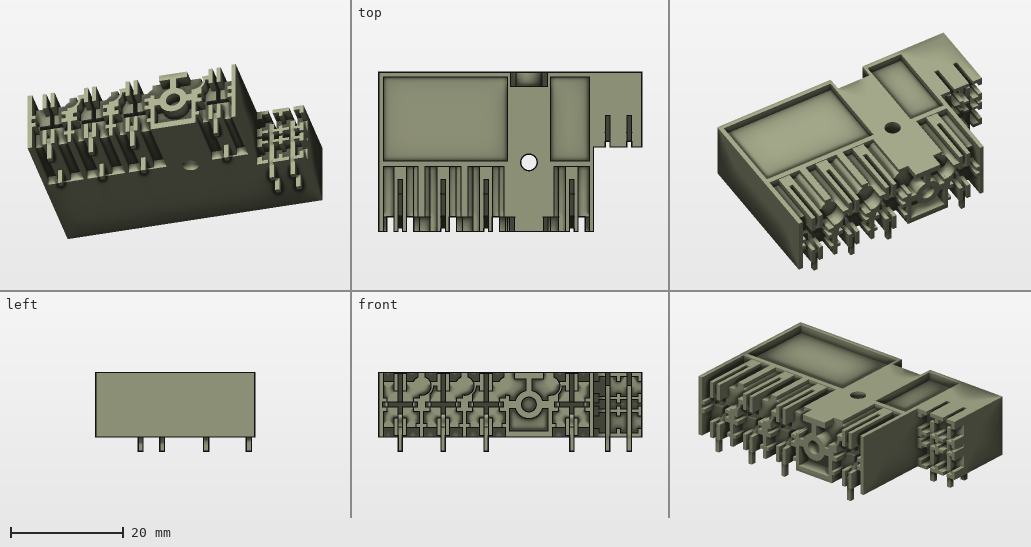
import cadquery as cq
length = 46.7
depth = 28.3
top_z = 14
pin_length = 2.5
base_z = pin_length
main_length = 38.15
wall = 0.85
right_wall = 0.75
front_depth = 2.6

pitch = 7.6
first_cell_x = 3.85
cell_centres = [first_cell_x + i * pitch for i in (0, 1, 2, 4)]
hub_x = first_cell_x + 3 * pitch
partition_centres = [first_cell_x + (i + 0.5) * pitch for i in range(4)]
channel_back_y = 11.6
top_floor_z = 12.4
bottom_ceiling_z = 4.25
partition_top_width = 1.25
web_width = 0.7
nib_reach = 1.0
nib_top_z = 4.95
ledge_reach = 1.45
ledge_bottom_z = 7.05
ledge_top_z = 9.45

bore_radius = 1.7
bore_z = 11.63
rib_radius = 2.1
rib_shelf_z = 11.6

holder_width = 2.25
holder_height = 3.15
top_holder_z = 10.7
bottom_holder_z = 2.8
slot_width = 0.8
slot_depth = 9.2
cross_slot_bottom_z = 7.9
cross_slot_top_z = 8.75
cross_slot_width = 6.2
inner_slot_width = 4.4

blade_front_y = 0.6
blade_slope_end_y = 2.8
blade_step_y = 6.7
blade_nose_z = 4.35
blade_ridge_z = 6.65
leg_width = 1.0
rear_leg_y = 8.15
inner_slot_depth = blade_step_y

hub_z = 8.3
hub_radius = 2.5
hub_hole_radius = 1.3
shoulder_z = 9.9
hub_pocket_width = 6.8
hub_pocket_bottom_z = 3.65
arm_height = 1.4
stem_width = 1.1
cap_width = 5.1
cap_bottom_z = 12.85
screw_hole_radius = 1.45
screw_hole_y = 12.3
notch_width = 6.55
notch_depth = 2.55
notch_floor_z = 9.3

tray_front_y = 12.5
left_tray_end_x = 22.9
right_tray_start_x = 30.5

signal_front_y = 15.0
signal_recess_depth = 2.6
signal_pin_xs = (40.6, 44.45)
signal_slot_width = 0.85
signal_slot_back_y = 20.65
signal_blade_front_y = 16.0
signal_blade_top_z = 11.7
signal_leg_width = 0.9
signal_rear_leg_y = 19.85
signal_shelves = ((base_z, 3.2), (6.9, 7.45), (9.15, 9.7), (13.25, top_z))
signal_teeth = ((base_z, 4.05), (6.3, 8.05), (8.6, 10.25), (top_floor_z, top_z))
tooth_spans = ((main_length, 39.1), (42.15, 42.85), (46.0, length))


def box(x0, x1, y0, y1, z0, z1):
    """Axis-aligned block between two opposite corners."""
    return cq.Workplane("XY").box(x1 - x0, y1 - y0, z1 - z0, centered=False).translate((x0, y0, z0))


def centred_box(x, width, y0, y1, z0, z1):
    """Block of the given width, centred on x."""
    return box(x - width / 2, x + width / 2, y0, y1, z0, z1)


def rod(x, z, radius, y0, y1):
    """Cylinder parallel to Y."""
    return cq.Workplane("XZ", origin=(x, y0, z)).circle(radius).extrude(y0 - y1)


def channel(x, partition_width, z0, z1):
    """Open channel of one cell, kept inside the outer side walls."""
    half = (pitch - partition_width) / 2
    left = max(wall, x - half)
    right = min(main_length - right_wall, x + half)
    return box(left, right, 0, channel_back_y, z0, z1)


def shell():
    """Main housing behind the front recess, with the outer side walls and channels."""
    body = box(0, main_length, front_depth, depth, base_z, top_z)
    for x in cell_centres:
        body = body.cut(channel(x, partition_top_width, top_floor_z, top_z))
        body = body.cut(channel(x, web_width, base_z, bottom_ceiling_z))
    for x in partition_centres:
        body = body.union(rod(x, bore_z, bore_radius, front_depth, channel_back_y))
    body = body.union(box(0, wall, 0, depth, base_z, top_z))
    return body.union(box(main_length - right_wall, main_length, 0, depth, base_z, top_z))


def partition_left(x):
    """Left flank of a front partition: web and nib."""
    flank = box(x - web_width / 2, x, 0, front_depth, base_z, bore_z)
    return flank.union(box(x - nib_reach, x, 0, front_depth, bottom_ceiling_z, nib_top_z))


def partition_right(x):
    """Right flank: web, nib and the curved rib that carries the bore."""
    flank = box(x, x + web_width / 2, 0, front_depth, base_z, ledge_top_z)
    flank = flank.union(box(x, x + nib_reach, 0, front_depth, bottom_ceiling_z, nib_top_z))
    rib = box(x, x + ledge_reach, 0, front_depth, ledge_bottom_z, bore_z)
    lower_right = box(x, x + rib_radius, 0, front_depth, ledge_top_z, bore_z)
    rib = rib.union(rod(x, bore_z, rib_radius, 0, front_depth).intersect(lower_right))
    holder_left_x = x + (pitch - holder_width) / 2
    return flank.union(rib).union(box(x, holder_left_x, 0, front_depth, rib_shelf_z, top_floor_z))


def front_partitions():
    """Front partitions with their bores; the hub separates the last two."""
    flanks = partition_left(partition_centres[0])
    for x in partition_centres[1:-1]:
        flanks = flanks.union(partition_left(x))
    for x in partition_centres[:2] + partition_centres[-1:]:
        flanks = flanks.union(partition_right(x))
    for x in partition_centres:
        flanks = flanks.cut(rod(x, bore_z, bore_radius, 0, front_depth))
    return flanks


def hub():
    """Central boss on arms, with a pocket below and a T-shaped cap above."""
    arm_bottom_z = hub_z - arm_height / 2
    arm_top_z = hub_z + arm_height / 2
    block = centred_box(hub_x, pitch, 0, front_depth, base_z, shoulder_z)
    block = block.cut(rod(partition_centres[-1], bore_z, bore_radius, 0, front_depth))
    block = block.cut(centred_box(hub_x, hub_pocket_width, 0, front_depth, hub_pocket_bottom_z, top_z))
    block = block.union(centred_box(hub_x, hub_pocket_width, 0, front_depth, arm_bottom_z, arm_top_z))
    block = block.union(centred_box(hub_x, stem_width, 0, front_depth, hub_z, top_z))
    block = block.union(centred_box(hub_x, cap_width, 0, front_depth, cap_bottom_z, top_z))
    return block.union(rod(hub_x, hub_z, hub_radius, 0, front_depth))


def holders(x):
    """Upper and lower blocks that guide the contact, with ledges at the cell sides."""
    blocks = centred_box(x, holder_width, 0, channel_back_y, top_holder_z, top_holder_z + holder_height)
    blocks = blocks.union(
        centred_box(x, holder_width, 0, channel_back_y, bottom_holder_z, bottom_holder_z + holder_height)
    )
    ledge_offset = (pitch - ledge_reach) / 2
    for ledge_x in (x - ledge_offset, x + ledge_offset):
        blocks = blocks.union(
            centred_box(ledge_x, ledge_reach, 0, front_depth, ledge_bottom_z, ledge_top_z)
        )
    return blocks


def contact_slots(x):
    """Cross-shaped slot: vertical for the blade, horizontal through the ledges."""
    z0, z1 = cross_slot_bottom_z, cross_slot_top_z
    slots = centred_box(x, slot_width, 0, slot_depth, base_z, top_z)
    slots = slots.union(centred_box(x, cross_slot_width, 0, front_depth, z0, z1))
    return slots.union(centred_box(x, inner_slot_width, 0, inner_slot_depth, z0, z1))


def main_contact(x):
    """Blade with a sloped nose and two solder legs."""
    outline = [
        (blade_front_y, bottom_holder_z),
        (blade_front_y, blade_nose_z),
        (blade_slope_end_y, blade_ridge_z),
        (blade_step_y, blade_ridge_z),
        (blade_step_y, cross_slot_top_z),
        (slot_depth, cross_slot_top_z),
        (slot_depth, bottom_holder_z),
    ]
    blade = cq.Workplane("YZ", origin=(x - slot_width / 2, 0, 0)).polyline(outline).close()
    contact = blade.extrude(slot_width)
    for y in (blade_front_y, rear_leg_y):
        contact = contact.union(centred_box(x, slot_width, y, y + leg_width, 0, blade_nose_z))
    return contact


def trays():
    """Shallow trays in the top face, as deep as the channels."""
    back_y = depth - wall
    left = box(wall, left_tray_end_x, tray_front_y, back_y, top_floor_z, top_z)
    return left.union(
        box(right_tray_start_x, main_length - right_wall, tray_front_y, back_y, top_floor_z, top_z)
    )


def rear_notch():
    """Notch in the rear edge around a rounded boss."""
    y0 = depth - notch_depth
    notch = centred_box(hub_x, notch_width, y0, depth, notch_floor_z, top_z)
    return notch.cut(rod(hub_x, hub_z, hub_radius, y0, depth))


def signal_contact(x):
    """Flat blade with two solder legs."""
    contact = centred_box(
        x, signal_slot_width, signal_blade_front_y, signal_slot_back_y, base_z, signal_blade_top_z
    )
    for y in (signal_blade_front_y, signal_rear_leg_y):
        contact = contact.union(
            centred_box(x, signal_slot_width, y, y + signal_leg_width, 0, signal_blade_top_z)
        )
    return contact


def signal_block():
    """Side block with a recessed front crossed by shelves and teeth."""
    recess_y = signal_front_y + signal_recess_depth
    block = box(main_length, length, recess_y, depth, base_z, top_z)
    for z0, z1 in signal_shelves:
        block = block.union(box(main_length, length, signal_front_y, recess_y, z0, z1))
    for x0, x1 in tooth_spans:
        for z0, z1 in signal_teeth:
            block = block.union(box(x0, x1, signal_front_y, recess_y, z0, z1))
    for x in signal_pin_xs:
        slot = centred_box(x, signal_slot_width, signal_front_y, signal_slot_back_y, base_z, top_z)
        block = block.cut(slot).union(signal_contact(x))
    return block


result = shell().union(front_partitions()).union(hub())
for cell_x in cell_centres:
    result = result.union(holders(cell_x)).cut(contact_slots(cell_x)).union(main_contact(cell_x))
result = result.cut(trays()).cut(rear_notch())
result = result.cut(rod(hub_x, hub_z, hub_hole_radius, 0, front_depth))
screw_hole = cq.Workplane("XY").center(hub_x, screw_hole_y).circle(screw_hole_radius).extrude(top_z)
result = result.cut(screw_hole).union(signal_block())